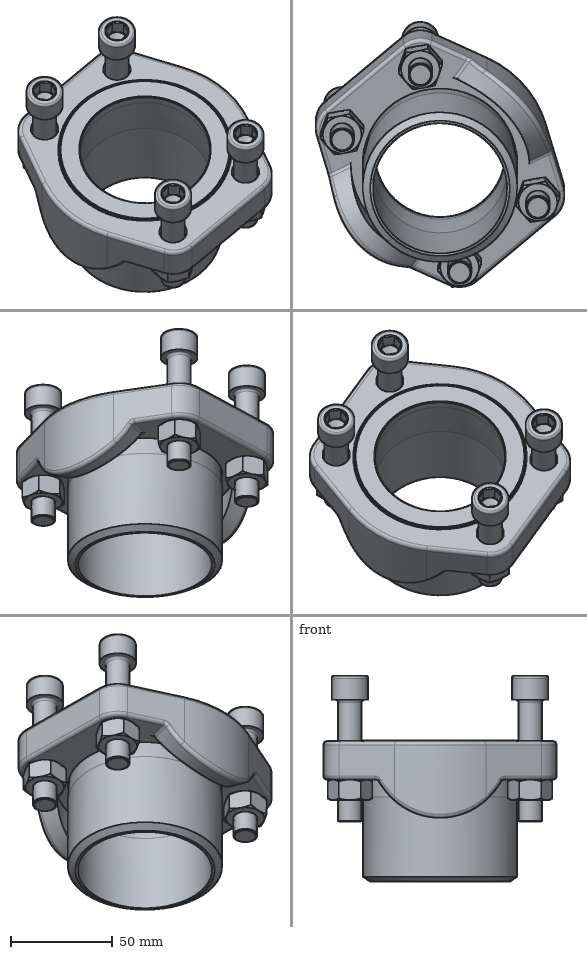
import cadquery as cq
import math

BOLT_SPACING_X = 88.9
BOLT_SPACING_Y = 50.8

FLANGE_LENGTH = 115.0
FLANGE_WIDTH = 109.0
FLANGE_BOTTOM = 50.3
FLANGE_TOP = 69.3
EDGE_RADIUS = 2.0
BLEND_RADIUS = 2.0
BOLT_HOLE_DIAMETER = 13.5
COLLAR_SEAT_DIAMETER = 85.0
COLLAR_SEAT_CHAMFER = 0.3
LOBE_BOTTOM = 30.9
LOBE_RADIUS = 38.0
LOBE_TAPER = 12.0
LOBE_CLEARANCE_DIAMETER = 88.0

NECK_DIAMETER = 76.1
NECK_TOP_DIAMETER = 74.0
NECK_TAPER_START = 41.9
NECK_HEIGHT = 69.8
COLLAR_DIAMETER = 84.1
COLLAR_HEIGHT = 9.2
COLLAR_CHAMFER = 0.5
WELD_BEVEL_HEIGHT = 2.4
WELD_BEVEL_WIDTH = 3.7
PIPE_BORE_DIAMETER = 66.1
MOUTH_DIAMETER = 64.0
MOUTH_DEPTH = 4.6
MOUTH_CHAMFER = 0.5

SCREW_LENGTH = 60.0
SCREW_DIAMETER = 11.7
SCREW_TIP_DIAMETER = 10.4
SCREW_TIP_HEIGHT = 0.5
HEAD_DIAMETER = 18.0
HEAD_HEIGHT = 12.0
HEAD_TOP = 101.5
HEAD_EDGE_RADIUS = 1.2
UNDERHEAD_RADIUS = 1.2
SOCKET_FLATS = 10.0
SOCKET_RIM_DIAMETER = 11.7
SOCKET_DEPTH = 8.0
SOCKET_TURN = 39.0
SOCKET_RIM_ANGLE = 30.0
DRILL_POINT_ANGLE = 120.0

NUT_FLATS = 19.0
NUT_HEIGHT = 10.0
NUT_CHAMFER_ANGLE = 30.0

BOLT_X = BOLT_SPACING_X / 2
BOLT_Y = BOLT_SPACING_Y / 2
COLLAR_BOTTOM = NECK_HEIGHT - COLLAR_HEIGHT
HEAD_BOTTOM = HEAD_TOP - HEAD_HEIGHT
SCREW_TIP = HEAD_BOTTOM - SCREW_LENGTH
HEX_SIDES = 6
COS_30 = math.cos(math.radians(30))
BOLT_CENTRES = [(sx * BOLT_X, sy * BOLT_Y) for sx in (-1, 1) for sy in (-1, 1)]


def flange_outline():
    """Four corner arcs about the bolts and two large arcs about the axis, joined by tangent lines."""
    large_radius = FLANGE_WIDTH / 2
    corner_radius = FLANGE_LENGTH / 2 - BOLT_X
    bolt_distance = math.hypot(BOLT_X, BOLT_Y)
    tangent = math.atan2(BOLT_X, BOLT_Y) - math.acos((large_radius - corner_radius) / bolt_distance)
    corner_middle = (math.pi / 2 + tangent) / 2

    def on_large(angle):
        return large_radius * math.sin(angle), large_radius * math.cos(angle)

    def on_corner(angle):
        return BOLT_X + corner_radius * math.sin(angle), BOLT_Y + corner_radius * math.cos(angle)

    def mirrored(point, sx, sy):
        return sx * point[0], sy * point[1]

    large_end = on_large(tangent)
    corner_start = on_corner(tangent)
    corner_mid = on_corner(corner_middle)
    corner_end = on_corner(math.pi / 2)

    outline = cq.Workplane("XY").moveTo(*mirrored(large_end, -1, 1))
    for side in (1, -1):
        outline = (
            outline.threePointArc((0, side * large_radius), mirrored(large_end, side, side))
            .lineTo(*mirrored(corner_start, side, side))
            .threePointArc(mirrored(corner_mid, side, side), mirrored(corner_end, side, side))
            .lineTo(*mirrored(corner_end, side, -side))
            .threePointArc(mirrored(corner_mid, side, -side), mirrored(corner_start, side, -side))
            .lineTo(*mirrored(large_end, side, -side))
        )
    return outline.close()


def lobe_cone():
    """Double cone along Y, narrowest at the middle, whose lower side shapes both lobes."""
    slope = math.tan(math.radians(LOBE_TAPER))
    waist_radius = LOBE_RADIUS - slope * FLANGE_WIDTH / 2
    end_y = FLANGE_WIDTH
    end_radius = waist_radius + slope * end_y
    return (
        cq.Workplane("XY")
        .moveTo(0, -end_y)
        .lineTo(end_radius, -end_y)
        .lineTo(waist_radius, 0)
        .lineTo(end_radius, end_y)
        .lineTo(0, end_y)
        .close()
        .revolve(360, (0, 0), (0, 1))
        .translate((0, 0, LOBE_BOTTOM + LOBE_RADIUS))
    )


def flange_blank():
    """Plate with both lobes, rounded all along its outer rims."""
    blank = flange_outline().extrude(FLANGE_TOP)
    below_plate = cq.Workplane("XY").box(
        2 * FLANGE_LENGTH, 2 * FLANGE_LENGTH, FLANGE_BOTTOM, centered=(True, True, False)
    )
    body = blank.cut(below_plate.cut(lobe_cone()))

    body = body.edges("%HYPERBOLA").fillet(BLEND_RADIUS)
    body = body.faces(">Z").edges().fillet(EDGE_RADIUS)
    return body.faces(">X").edges("<Z").fillet(EDGE_RADIUS)


def make_flange():
    body = flange_blank()
    clearance = cq.Workplane("XY").circle(LOBE_CLEARANCE_DIAMETER / 2).extrude(FLANGE_BOTTOM)
    bore = cq.Workplane("XY").circle(NECK_DIAMETER / 2).extrude(FLANGE_TOP)
    collar_seat = (
        cq.Workplane("XY", origin=(0, 0, COLLAR_BOTTOM))
        .circle(COLLAR_SEAT_DIAMETER / 2)
        .extrude(FLANGE_TOP - COLLAR_BOTTOM)
    )
    seat_rim = (
        cq.Workplane("XY", origin=(0, 0, FLANGE_TOP))
        .circle(COLLAR_SEAT_DIAMETER / 2 + COLLAR_SEAT_CHAMFER)
        .extrude(-COLLAR_SEAT_CHAMFER, taper=45)
    )
    bolt_holes = (
        cq.Workplane("XY")
        .pushPoints(BOLT_CENTRES)
        .circle(BOLT_HOLE_DIAMETER / 2)
        .extrude(FLANGE_TOP)
    )
    return body.cut(clearance).cut(bore).cut(collar_seat).cut(seat_rim).cut(bolt_holes)


def make_neck():
    """Pipe end with a collar, revolved about Z."""
    pipe_radius = NECK_DIAMETER / 2
    top_radius = NECK_TOP_DIAMETER / 2
    collar_radius = COLLAR_DIAMETER / 2
    bore_radius = PIPE_BORE_DIAMETER / 2
    mouth_radius = MOUTH_DIAMETER / 2
    return (
        cq.Workplane("XZ")
        .moveTo(bore_radius, 0)
        .lineTo(pipe_radius - WELD_BEVEL_WIDTH, 0)
        .lineTo(pipe_radius, WELD_BEVEL_HEIGHT)
        .lineTo(pipe_radius, NECK_TAPER_START)
        .lineTo(top_radius, COLLAR_BOTTOM)
        .lineTo(collar_radius, COLLAR_BOTTOM)
        .lineTo(collar_radius, NECK_HEIGHT - COLLAR_CHAMFER)
        .lineTo(collar_radius - COLLAR_CHAMFER, NECK_HEIGHT)
        .lineTo(mouth_radius + MOUTH_CHAMFER, NECK_HEIGHT)
        .lineTo(mouth_radius, NECK_HEIGHT - MOUTH_CHAMFER)
        .lineTo(mouth_radius, NECK_HEIGHT - MOUTH_DEPTH)
        .lineTo(bore_radius, NECK_TAPER_START)
        .close()
        .revolve(360, (0, 0), (0, 1))
    )


def screw_profile():
    """Head, underhead fillet, shank and tip, revolved about Z."""
    shank_radius = SCREW_DIAMETER / 2
    head_radius = HEAD_DIAMETER / 2
    fillet_drop = UNDERHEAD_RADIUS * (1 - math.sqrt(0.5))
    return (
        cq.Workplane("XZ")
        .moveTo(0, SCREW_TIP)
        .lineTo(SCREW_TIP_DIAMETER / 2, SCREW_TIP)
        .lineTo(shank_radius, SCREW_TIP + SCREW_TIP_HEIGHT)
        .lineTo(shank_radius, HEAD_BOTTOM - UNDERHEAD_RADIUS)
        .threePointArc(
            (shank_radius + fillet_drop, HEAD_BOTTOM - fillet_drop),
            (shank_radius + UNDERHEAD_RADIUS, HEAD_BOTTOM),
        )
        .lineTo(head_radius, HEAD_BOTTOM)
        .lineTo(head_radius, HEAD_TOP)
        .lineTo(0, HEAD_TOP)
        .close()
        .revolve(360, (0, 0), (0, 1))
        .faces(">Z")
        .edges()
        .fillet(HEAD_EDGE_RADIUS)
    )


def socket():
    """Hexagonal socket with a countersunk rim and a drilled, conical bottom."""
    flat_radius = SOCKET_FLATS / 2
    rim_radius = SOCKET_RIM_DIAMETER / 2
    floor = HEAD_TOP - SOCKET_DEPTH
    point_depth = flat_radius / math.tan(math.radians(DRILL_POINT_ANGLE / 2))
    rim_depth = (rim_radius - flat_radius) * math.tan(math.radians(SOCKET_RIM_ANGLE))
    hexagon = (
        cq.Workplane("XY", origin=(0, 0, floor))
        .polygon(HEX_SIDES, SOCKET_FLATS / COS_30)
        .extrude(SOCKET_DEPTH)
        .rotate((0, 0, 0), (0, 0, 1), SOCKET_TURN)
    )
    round_ends = (
        cq.Workplane("XZ")
        .moveTo(0, floor - point_depth)
        .lineTo(flat_radius, floor)
        .lineTo(flat_radius, HEAD_TOP - rim_depth)
        .lineTo(rim_radius, HEAD_TOP)
        .lineTo(0, HEAD_TOP)
        .close()
        .revolve(360, (0, 0), (0, 1))
    )
    return hexagon.union(round_ends)


def make_screw():
    return screw_profile().cut(socket())


def make_nut():
    """Hexagon with corners on X, both ends turned to a cone, bored to fit the screw."""
    corner_radius = NUT_FLATS / COS_30 / 2
    flat_radius = NUT_FLATS / 2
    chamfer = (corner_radius - flat_radius) * math.tan(math.radians(NUT_CHAMFER_ANGLE))
    hexagon = cq.Workplane("XY").polygon(HEX_SIDES, 2 * corner_radius).extrude(NUT_HEIGHT)
    turned = (
        cq.Workplane("XZ")
        .moveTo(SCREW_DIAMETER / 2, 0)
        .lineTo(flat_radius, 0)
        .lineTo(corner_radius, chamfer)
        .lineTo(corner_radius, NUT_HEIGHT - chamfer)
        .lineTo(flat_radius, NUT_HEIGHT)
        .lineTo(SCREW_DIAMETER / 2, NUT_HEIGHT)
        .close()
        .revolve(360, (0, 0), (0, 1))
    )
    return hexagon.intersect(turned).translate((0, 0, FLANGE_BOTTOM - NUT_HEIGHT))


flange = make_flange()
neck = make_neck()
screws = []
nuts = []
for x, y in BOLT_CENTRES:
    screws.append(make_screw().translate((x, y, 0)))
    nuts.append(make_nut().translate((x, y, 0)))

result = cq.Compound.makeCompound([body.solids().val() for body in (flange, neck, *screws, *nuts)])